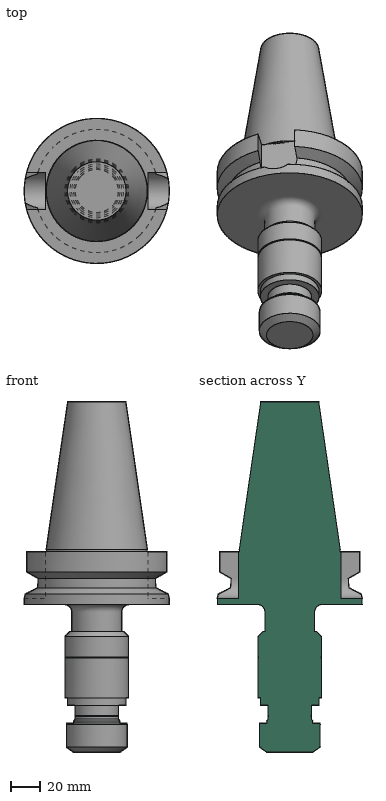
import cadquery as cq


taper_height = 101.8
gauge_diameter = 69.85
taper_ratio = 7 / 24
taper_tip_diameter = gauge_diameter - taper_ratio * taper_height
relief_diameter = 69.4

flange_diameter = 99.97
flange_top = -1.5
flange_bottom = -38.0
v_groove_diameter = 85.0
v_groove_center = -23.1
v_groove_floor_width = 6.5
v_groove_flank_height = 4.33

slot_width = 25.7
slot_floor_distance = 35.3
slot_depth = 32.2

neck_diameter = 34.6
neck_fillet = 5.0

body_diameter = 44.0
body_top = -56.3
body_bottom = -102.2
body_chamfer = 3.5
body_groove_center = -74.2
body_groove_width = 0.7
body_groove_depth = 0.2
spacer_diameter = 40.4
spacer_bottom = -107.2

stem_diameter = 30.0
stem_groove_diameter = 29.59
stem_groove_top = -114.4
stem_groove_bottom = -115.1
collar_diameter = 31.98
collar_cone_top = -116.6
collar_cone_bottom = -118.1

nut_diameter = 42.0
nut_top_diameter = 41.45
nut_top = -119.5
nut_top_bevel_height = 0.8
nut_bottom = -139.6
nut_bottom_diameter = 31.98
nut_bottom_bevel_height = 3.5


def stacked_sections(sections):
    """Revolve a closed stack of (diameter, z) corners, listed from top to bottom, about Z."""
    top_z = sections[0][1]
    bottom_z = sections[-1][1]
    corners = [(diameter / 2, z) for diameter, z in sections]
    outline = cq.Workplane("XZ").polyline([(0, top_z)] + corners + [(0, bottom_z)]).close()
    return outline.revolve(360, (0, 0, 0), (0, 1, 0))


def make_shank():
    return stacked_sections([
        (taper_tip_diameter, taper_height),
        (gauge_diameter, 0),
        (relief_diameter, 0),
        (relief_diameter, flange_top),
    ])


def make_flange():
    half_floor = v_groove_floor_width / 2
    half_mouth = half_floor + v_groove_flank_height
    return stacked_sections([
        (flange_diameter, flange_top),
        (flange_diameter, v_groove_center + half_mouth),
        (v_groove_diameter, v_groove_center + half_floor),
        (v_groove_diameter, v_groove_center - half_floor),
        (flange_diameter, v_groove_center - half_mouth),
        (flange_diameter, flange_bottom),
    ])


def make_drive_slot(side):
    """Cutter for one slot with a half-round bottom; side is +1 or -1 along X."""
    half_width = slot_width / 2
    slot_bottom = flange_top - slot_depth
    arc_start = slot_bottom + half_width
    outline = (
        cq.Workplane("YZ", origin=(side * slot_floor_distance, 0, 0))
        .moveTo(-half_width, flange_top)
        .lineTo(-half_width, arc_start)
        .threePointArc((0, slot_bottom), (half_width, arc_start))
        .lineTo(half_width, flange_top)
        .close()
    )
    return outline.extrude(side * flange_diameter / 2)


def make_neck():
    """Straight neck that flares into the underside of the flange."""
    radius = neck_diameter / 2
    flare_bottom = flange_bottom - neck_fillet
    outline = (
        cq.Workplane("XZ")
        .moveTo(0, flange_bottom)
        .lineTo(radius + neck_fillet, flange_bottom)
        .radiusArc((radius, flare_bottom), -neck_fillet)
        .lineTo(radius, body_top)
        .lineTo(0, body_top)
        .close()
    )
    return outline.revolve(360, (0, 0, 0), (0, 1, 0))


def make_body():
    groove_top = body_groove_center + body_groove_width / 2
    groove_bottom = body_groove_center - body_groove_width / 2
    groove_diameter = body_diameter - 2 * body_groove_depth
    return stacked_sections([
        (body_diameter - 2 * body_chamfer, body_top),
        (body_diameter, body_top - body_chamfer),
        (body_diameter, groove_top),
        (groove_diameter, groove_top),
        (groove_diameter, groove_bottom),
        (body_diameter, groove_bottom),
        (body_diameter, body_bottom),
        (spacer_diameter, body_bottom),
        (spacer_diameter, spacer_bottom),
    ])


def make_stem():
    return stacked_sections([
        (stem_diameter, spacer_bottom),
        (stem_diameter, stem_groove_top),
        (stem_groove_diameter, stem_groove_top),
        (stem_groove_diameter, stem_groove_bottom),
        (stem_diameter, stem_groove_bottom),
        (stem_diameter, collar_cone_top),
        (collar_diameter, collar_cone_bottom),
        (collar_diameter, nut_top),
    ])


def make_nut():
    return stacked_sections([
        (nut_top_diameter, nut_top),
        (nut_diameter, nut_top - nut_top_bevel_height),
        (nut_diameter, nut_bottom + nut_bottom_bevel_height),
        (nut_bottom_diameter, nut_bottom),
    ])


flange = make_flange()
for slot_side in (-1, 1):
    flange = flange.cut(make_drive_slot(slot_side))

result = make_shank()
for section in (flange, make_neck(), make_body(), make_stem(), make_nut()):
    result = result.union(section)